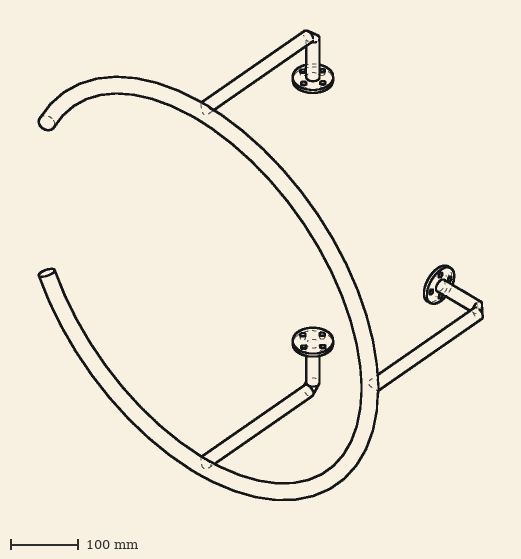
import cadquery as cq
import math

RING_RADIUS = 340.0
RING_BAR_RADIUS = 12.5
GAP_HALF_ANGLE = 25.0

BRACKET_ANGLES = (0.0, 90.0, 270.0)
ROD_RADIUS = 10.0
STANDOFF = 245.0
FLANGE_FACE_RADIUS = 250.0

FLANGE_RADIUS = 30.0
FLANGE_THICKNESS = 6.0
HOLE_DIAMETER = 8.0
HOLE_CIRCLE_RADIUS = 20.0
HOLE_COUNT = 4

ELBOW_INNER_X = RING_RADIUS - ROD_RADIUS
ELBOW_INNER_Y = STANDOFF - ROD_RADIUS


def make_ring():
    """Sweep the bar section around the Y axis, leaving the gap open."""
    swept_angle = 360.0 - 2.0 * GAP_HALF_ANGLE
    ring = (
        cq.Workplane("XY")
        .center(RING_RADIUS, 0)
        .circle(RING_BAR_RADIUS)
        .revolve(swept_angle, (-RING_RADIUS, 0, 0), (-RING_RADIUS, 1, 0))
    )
    return ring.rotate((0, 0, 0), (0, 1, 0), GAP_HALF_ANGLE - 180.0)


def make_elbow():
    """Corner piece cut flat at 45 degrees in profile, joining the round ends of both rods.

    The two end circles are joined by parallel 45 degree lines, so the piece is an
    elliptic cylinder trimmed by the two end planes, which meet at the inner corner.
    """
    section_plane = cq.Plane(
        origin=(ELBOW_INNER_X + ROD_RADIUS / 2, ELBOW_INNER_Y + ROD_RADIUS / 2, 0),
        xDir=(1, 1, 0),
        normal=(1, -1, 0),
    )
    rod_diameter = 2.0 * ROD_RADIUS
    oblique_bar = (
        cq.Workplane(section_plane)
        .workplane(offset=-rod_diameter)
        .ellipse(ROD_RADIUS / math.sqrt(2), ROD_RADIUS)
        .extrude(2.0 * rod_diameter)
    )
    corner_block = cq.Workplane("XY", origin=(ELBOW_INNER_X, ELBOW_INNER_Y, -rod_diameter / 2)).box(
        rod_diameter, rod_diameter, rod_diameter, centered=False
    )
    return oblique_bar.intersect(corner_block)


def make_flange():
    """Drilled disc facing the ring centre."""
    return (
        cq.Workplane("YZ", origin=(FLANGE_FACE_RADIUS, STANDOFF, 0))
        .circle(FLANGE_RADIUS)
        .polarArray(HOLE_CIRCLE_RADIUS, 0, 360, HOLE_COUNT)
        .circle(HOLE_DIAMETER / 2)
        .extrude(FLANGE_THICKNESS)
    )


def make_bracket():
    """Bracket on the +X side: rod along Y, elbow, inward rod and flange."""
    arm = cq.Workplane("XZ", origin=(RING_RADIUS, 0, 0)).circle(ROD_RADIUS).extrude(-ELBOW_INNER_Y)
    rod_start = FLANGE_FACE_RADIUS + FLANGE_THICKNESS
    inward_rod = (
        cq.Workplane("YZ", origin=(rod_start, STANDOFF, 0))
        .circle(ROD_RADIUS)
        .extrude(ELBOW_INNER_X - rod_start)
    )
    return arm.union(make_elbow()).union(inward_rod).union(make_flange())


result = make_ring()
bracket = make_bracket()
for angle in BRACKET_ANGLES:
    result = result.union(bracket.rotate((0, 0, 0), (0, 1, 0), -angle))